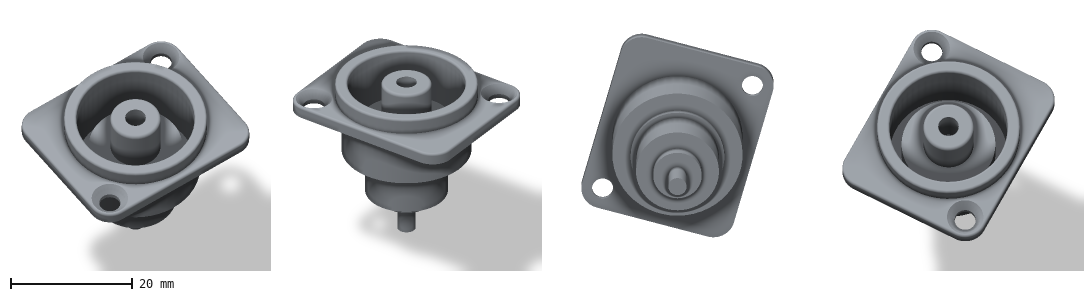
import cadquery as cq

flange_width = 26.0
flange_length = 31.0
flange_thickness = 2.0
flange_corner_radius = 3.5
flange_edge_fillet = 0.4

screw_offset_x = 9.5
screw_offset_y = 12.0
screw_hole_diameter = 3.5
countersink_diameter = 6.0
countersink_angle = 90.0

collar_diameter = 23.6
collar_height = 2.7
collar_edge_fillet = 0.4

insert_diameter = 15.5
insert_lip_height = 1.0
insert_top = -2.9
post_diameter = 8.3
post_edge_fillet = 0.5
contact_bore_diameter = 3.4

body_diameter = 21.5
body_height = 8.3
body_steps = [
    (body_diameter, body_height),
    (insert_diameter, insert_lip_height),
    (13.7, 7.0),
    (8.0, 2.0),
    (3.0, 5.3),
]

cavity_diameter = 19.5
cavity_rim_fillet = 0.4
body_wall = (body_diameter - cavity_diameter) / 2

collar_top = flange_thickness + collar_height
cavity_floor = body_wall - body_height
post_top = collar_top


def cylinder(diameter, bottom, top):
    """Cylinder on the Z axis between two heights."""
    return cq.Workplane("XY").workplane(offset=bottom).circle(diameter / 2).extrude(top - bottom)


def make_flange():
    """Rounded plate with a softened top edge and two countersunk holes."""
    plate = (
        cq.Workplane("XY")
        .rect(flange_width, flange_length)
        .extrude(flange_thickness)
        .edges("|Z")
        .fillet(flange_corner_radius)
        .faces(">Z")
        .edges()
        .fillet(flange_edge_fillet)
    )
    screw_positions = [(-screw_offset_x, screw_offset_y), (screw_offset_x, -screw_offset_y)]
    return (
        plate.faces(">Z")
        .workplane(origin=(0, 0, flange_thickness))
        .pushPoints(screw_positions)
        .cskHole(screw_hole_diameter, countersink_diameter, countersink_angle)
    )


def make_collar():
    """Round collar rising from the flange."""
    return cylinder(collar_diameter, 0, collar_top).faces(">Z").edges().fillet(collar_edge_fillet)


def make_stepped_body():
    """Stack of shrinking cylinders ending in a thin pin."""
    body = cq.Workplane("XY")
    top = 0.0
    for diameter, height in body_steps:
        body = body.union(cylinder(diameter, top - height, top))
        top -= height
    return body


def cut_cavity(shell):
    """Open the socket from the top and round its rim."""
    opened = shell.cut(cylinder(cavity_diameter, cavity_floor, collar_top))
    rim = cq.selectors.RadiusNthSelector(0)
    return opened.faces(">Z").edges(rim).fillet(cavity_rim_fillet)


def make_contact():
    """Raised insert carrying a round-edged post, bored down to the insert's top face."""
    insert = cylinder(insert_diameter, cavity_floor, insert_top)
    post = cylinder(post_diameter, insert_top, post_top).faces(">Z").edges().fillet(post_edge_fillet)
    bore = cylinder(contact_bore_diameter, insert_top, post_top)
    return insert.union(post.cut(bore))


shell = make_flange().union(make_collar()).union(make_stepped_body())
result = cut_cavity(shell).union(make_contact())